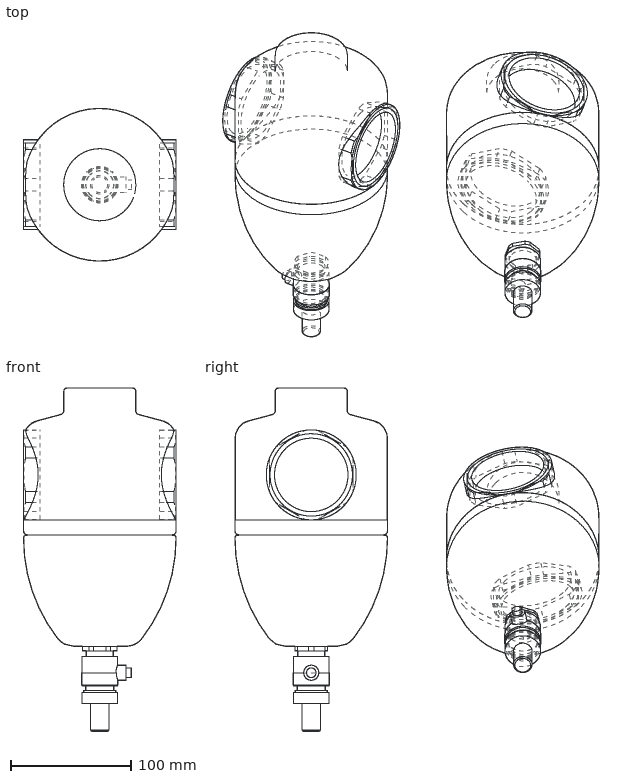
import cadquery as cq
import math

TOTAL_HEIGHT = 285.4
SHELL_DIAMETER = 127.0
SHELL_RADIUS = SHELL_DIAMETER / 2

HOUSING_BOTTOM = 163.2
RIM_TOP = 175.5
WALL_RADIUS = 63.3
NECK_RADIUS = 30.0
NECK_TOP_FILLET = 2.5
NECK_ROOT_FILLET = 3.0
SHOULDER_EDGE_HEIGHT = 255.0
SHOULDER_SLOPE = math.radians(15)
SHOULDER_FILLET = 15.0
HOUSING_RIM_FILLET = 3.5

PORT_HEIGHT = 213.2
PORT_RADIUS = 37.5
INSERT_FLATS = 69.3
INSERT_FACE_RADIUS = 34.2
INSERT_CHAMFER_SLOPE = math.radians(30)
INSERT_BORE_RADIUS = 30.5
INSERT_LENGTH = 13.7
INSERT_INNER_END = SHELL_RADIUS - INSERT_LENGTH
PORT_DIRECTIONS = (-1, 1)

BOWL_BOTTOM = 70.8
BOWL_RIM_FILLET = 2.5
BOWL_WALL_RADIUS = 136.7
BOWL_BOTTOM_FILLET = 16.5

HEX_FLATS = 27.0
HEX_CORNER_RADIUS = 14.5
HEX_BOTTOM = 67.0
NECK_GROOVE_RADIUS = 11.5
BARREL_TOP = 62.5
BARREL_STEP_HEIGHT = 48.8
BARREL_BOTTOM = 37.7
UPPER_BARREL_RADIUS = 14.8
LOWER_BARREL_RADIUS = 15.0
BARREL_CHAMFER = 0.9
NIPPLE_RADIUS = 6.3
NIPPLE_REACH = 22.0
NIPPLE_TIP_RADIUS = 4.0
NIPPLE_TIP_REACH = 26.3
FOOT_GROOVE_RADIUS = 11.7
COLLAR_RADIUS = 13.5
COLLAR_TOP = 34.2

KNOB_RADIUS = 14.8
KNOB_TOP = 32.5
KNOB_BOTTOM = 23.0
STEM_RADIUS = 7.7
STEM_CHAMFER = 1.0


def disc(radius, bottom, top):
    """Cylinder about the main axis between two heights."""
    return cq.Workplane("XY").workplane(offset=bottom).circle(radius).extrude(top - bottom)


def radial_rod(radius, start, end, height):
    """Cylinder along +X at the given height, between two distances from the main axis."""
    plane = cq.Workplane("YZ", origin=(start, 0, height))
    return plane.circle(radius).extrude(end - start)


def rounded_edge(solid, radius, height, fillet):
    """Round the circular edge of the given radius lying at the given height."""
    margin = 0.3
    reach = radius + margin
    box = cq.selectors.BoxSelector((-reach, -reach, height - margin), (reach, reach, height + margin))
    return solid.edges(box).edges("%CIRCLE").fillet(fillet)


def hexagon_corner_diameter(flats):
    """Corner-to-corner size of a regular hexagon with the given size across flats."""
    return flats / math.cos(math.radians(30))


def placed_on_side(solid, direction):
    """Leave a +X solid in place or turn it half round to the -X side."""
    return solid if direction > 0 else solid.rotate((0, 0, 0), (0, 0, 1), 180)


def make_insert_blank():
    """Solid +X insert shape: hexagon trimmed by the port radius, with a chamfered outer end."""
    chamfer_depth = (PORT_RADIUS - INSERT_FACE_RADIUS) * math.tan(INSERT_CHAMFER_SLOPE)
    hexagon = (
        cq.Workplane("YZ", origin=(INSERT_INNER_END, 0, PORT_HEIGHT))
        .transformed(rotate=(0, 0, 90))
        .polygon(6, hexagon_corner_diameter(INSERT_FLATS))
        .extrude(INSERT_LENGTH)
    )
    envelope = (
        cq.Workplane("XY", origin=(0, 0, PORT_HEIGHT))
        .moveTo(INSERT_INNER_END, 0)
        .lineTo(INSERT_INNER_END, PORT_RADIUS)
        .lineTo(SHELL_RADIUS - chamfer_depth, PORT_RADIUS)
        .lineTo(SHELL_RADIUS, INSERT_FACE_RADIUS)
        .lineTo(SHELL_RADIUS, 0)
        .close()
        .revolve(360, (0, 0, 0), (1, 0, 0))
    )
    return hexagon.intersect(envelope)


def make_insert(direction):
    bore = radial_rod(INSERT_BORE_RADIUS, INSERT_INNER_END, SHELL_RADIUS, PORT_HEIGHT)
    return placed_on_side(make_insert_blank().cut(bore), direction)


def make_housing():
    neck_root = SHOULDER_EDGE_HEIGHT + (WALL_RADIUS - NECK_RADIUS) * math.tan(SHOULDER_SLOPE)
    housing = (
        cq.Workplane("XZ")
        .moveTo(0, HOUSING_BOTTOM)
        .lineTo(SHELL_RADIUS, HOUSING_BOTTOM)
        .lineTo(SHELL_RADIUS, RIM_TOP)
        .lineTo(WALL_RADIUS, RIM_TOP)
        .lineTo(WALL_RADIUS, SHOULDER_EDGE_HEIGHT)
        .lineTo(NECK_RADIUS, neck_root)
        .lineTo(NECK_RADIUS, TOTAL_HEIGHT)
        .lineTo(0, TOTAL_HEIGHT)
        .close()
        .revolve(360, (0, 0, 0), (0, 1, 0))
    )
    housing = rounded_edge(housing, WALL_RADIUS, SHOULDER_EDGE_HEIGHT, SHOULDER_FILLET)
    housing = rounded_edge(housing, NECK_RADIUS, neck_root, NECK_ROOT_FILLET)
    housing = rounded_edge(housing, NECK_RADIUS, TOTAL_HEIGHT, NECK_TOP_FILLET)
    housing = rounded_edge(housing, SHELL_RADIUS, HOUSING_BOTTOM, HOUSING_RIM_FILLET)
    ports = radial_rod(PORT_RADIUS, -SHELL_RADIUS, SHELL_RADIUS, PORT_HEIGHT)
    housing = housing.union(ports)
    for direction in PORT_DIRECTIONS:
        housing = housing.cut(placed_on_side(make_insert_blank(), direction))
    return housing


def make_bowl():
    arc_top = HOUSING_BOTTOM - BOWL_RIM_FILLET
    arc_drop = arc_top - BOWL_BOTTOM
    arc_center = SHELL_RADIUS - BOWL_WALL_RADIUS

    def wall_radius(drop):
        return arc_center + math.sqrt(BOWL_WALL_RADIUS**2 - drop**2)

    bowl = (
        cq.Workplane("XZ")
        .moveTo(0, HOUSING_BOTTOM)
        .lineTo(SHELL_RADIUS - BOWL_RIM_FILLET, HOUSING_BOTTOM)
        .radiusArc((SHELL_RADIUS, arc_top), BOWL_RIM_FILLET)
        .threePointArc(
            (wall_radius(arc_drop / 2), arc_top - arc_drop / 2),
            (wall_radius(arc_drop), BOWL_BOTTOM),
        )
        .lineTo(0, BOWL_BOTTOM)
        .close()
        .revolve(360, (0, 0, 0), (0, 1, 0))
    )
    return rounded_edge(bowl, wall_radius(arc_drop), BOWL_BOTTOM, BOWL_BOTTOM_FILLET)


def make_drain_valve():
    hexagon = (
        cq.Workplane("XY", origin=(0, 0, HEX_BOTTOM))
        .polygon(6, hexagon_corner_diameter(HEX_FLATS))
        .extrude(BOWL_BOTTOM - HEX_BOTTOM)
        .intersect(disc(HEX_CORNER_RADIUS, HEX_BOTTOM, BOWL_BOTTOM))
    )
    neck_groove = disc(NECK_GROOVE_RADIUS, BARREL_TOP, HEX_BOTTOM)
    upper_barrel = disc(UPPER_BARREL_RADIUS, BARREL_STEP_HEIGHT, BARREL_TOP)
    lower_barrel = disc(LOWER_BARREL_RADIUS, BARREL_BOTTOM, BARREL_STEP_HEIGHT)
    lower_barrel = lower_barrel.faces("<Z").edges().chamfer(BARREL_CHAMFER)
    nipple = radial_rod(NIPPLE_RADIUS, 0, NIPPLE_REACH, BARREL_STEP_HEIGHT)
    nipple_tip = radial_rod(NIPPLE_TIP_RADIUS, 0, NIPPLE_TIP_REACH, BARREL_STEP_HEIGHT)
    foot_groove = disc(FOOT_GROOVE_RADIUS, COLLAR_TOP, BARREL_BOTTOM)
    collar = disc(COLLAR_RADIUS, KNOB_TOP, COLLAR_TOP)
    valve = hexagon
    for section in (neck_groove, upper_barrel, lower_barrel, nipple, nipple_tip, foot_groove, collar):
        valve = valve.union(section)
    return valve


def make_drain_knob():
    knob = disc(KNOB_RADIUS, KNOB_BOTTOM, KNOB_TOP)
    stem = disc(STEM_RADIUS, 0, KNOB_BOTTOM).faces("<Z").edges().chamfer(STEM_CHAMFER)
    return knob.union(stem)


housing = make_housing()
bowl = make_bowl()
inserts = [make_insert(direction) for direction in PORT_DIRECTIONS]
drain_valve = make_drain_valve()
drain_knob = make_drain_knob()

result = cq.Compound.makeCompound(
    [
        housing.val(),
        bowl.val(),
        *[insert.val() for insert in inserts],
        drain_valve.val(),
        drain_knob.val(),
    ]
)